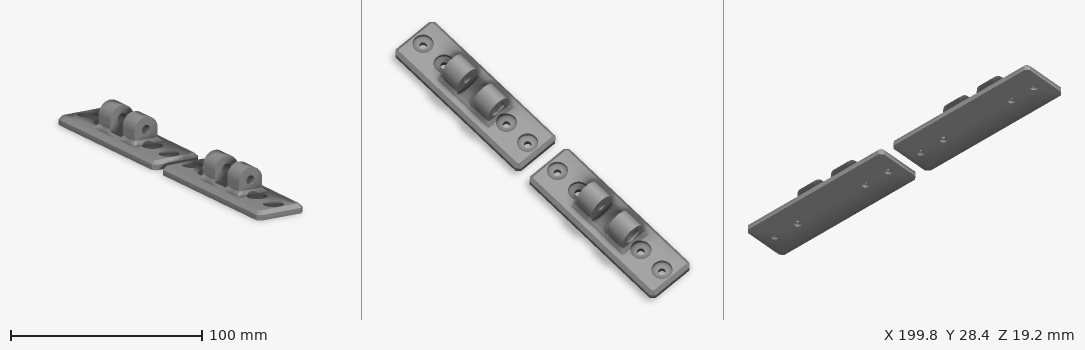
import cadquery as cq

plate_length = 96.5
plate_width = 28.4
plate_height = 5.0
plate_bevel = 2.0

total_length = 199.8
bracket_offset = (total_length - plate_length) / 2

overall_height = 19.2
knuckle_width = 14.2
knuckle_radius = knuckle_width / 2
axis_height = overall_height - knuckle_radius
knuckle_inner_x = 6.0
knuckle_outer_x = 17.8

foot_flare = 2.0
foot_height = 2.0
foot_length = 2 * (knuckle_outer_x + foot_flare)
foot_width = knuckle_width + 2 * foot_flare

trough_radius = 10.0

bolt_hole_diameter = 5.2
bolt_head_diameter = 9.0
nut_across_corners = 9.8
nut_turn = 30
pocket_depth = 3.5

screw_inner_x = 24.0
screw_outer_x = 40.2
screw_positions = [-screw_outer_x, -screw_inner_x, screw_inner_x, screw_outer_x]
screw_hole_diameter = 4.0
screw_head_diameter = 11.0
screw_head_depth = 2.0


def make_plate():
    """Rectangular plate with bevelled corners and a bevelled top rim."""
    plate = cq.Workplane("XY").box(plate_length, plate_width, plate_height, centered=(True, True, False))
    return plate.edges("|Z").chamfer(plate_bevel).faces(">Z").edges().chamfer(plate_bevel)


def make_knuckle_block():
    """Round-topped bar along X, standing on a foot that slopes outwards on all four sides."""
    bar_length = 2 * knuckle_outer_x
    bar = (
        cq.Workplane("YZ", origin=(-knuckle_outer_x, 0, 0))
        .moveTo(-knuckle_radius, 0)
        .lineTo(-knuckle_radius, axis_height)
        .threePointArc((0, overall_height), (knuckle_radius, axis_height))
        .lineTo(knuckle_radius, 0)
        .close()
        .extrude(bar_length)
    )
    foot = (
        cq.Workplane("XY", origin=(0, 0, plate_height))
        .rect(foot_length, foot_width)
        .workplane(offset=foot_height)
        .rect(bar_length, knuckle_width)
        .loft(ruled=True)
    )
    return bar.union(foot)


def axis_plane(x):
    """Plane facing +X whose origin lies on the hinge axis."""
    return cq.Workplane("YZ", origin=(x, 0, axis_height))


def make_trough():
    """Cylinder that parts the bar into two knuckles and hollows the foot between them."""
    return axis_plane(-knuckle_inner_x).circle(trough_radius).extrude(2 * knuckle_inner_x)


def make_screw_holes():
    """Counterbored holes for the mounting screws."""
    points = [(x, 0) for x in screw_positions]
    shanks = cq.Workplane("XY").pushPoints(points).circle(screw_hole_diameter / 2).extrude(plate_height)
    heads = (
        cq.Workplane("XY", origin=(0, 0, plate_height - screw_head_depth))
        .pushPoints(points)
        .circle(screw_head_diameter / 2)
        .extrude(screw_head_depth + foot_height)
    )
    return shanks.union(heads)


def make_bracket(x, pocket_profile):
    """Hinge half centred at x; the pocket profile is sunk into its -X knuckle."""
    bolt_hole = axis_plane(-knuckle_outer_x).circle(bolt_hole_diameter / 2).extrude(2 * knuckle_outer_x)
    pocket = pocket_profile.extrude(pocket_depth)
    bracket = (
        make_plate()
        .union(make_knuckle_block())
        .cut(make_trough())
        .cut(bolt_hole)
        .cut(pocket)
        .cut(make_screw_holes())
    )
    return bracket.translate((x, 0, 0))


pocket_plane = axis_plane(-knuckle_outer_x)
nut_plane = pocket_plane.transformed(rotate=(0, 0, nut_turn))
bolt_head_bracket = make_bracket(-bracket_offset, pocket_plane.circle(bolt_head_diameter / 2))
nut_bracket = make_bracket(bracket_offset, nut_plane.polygon(6, nut_across_corners))

result = cq.Compound.makeCompound([bolt_head_bracket.val(), nut_bracket.val()])